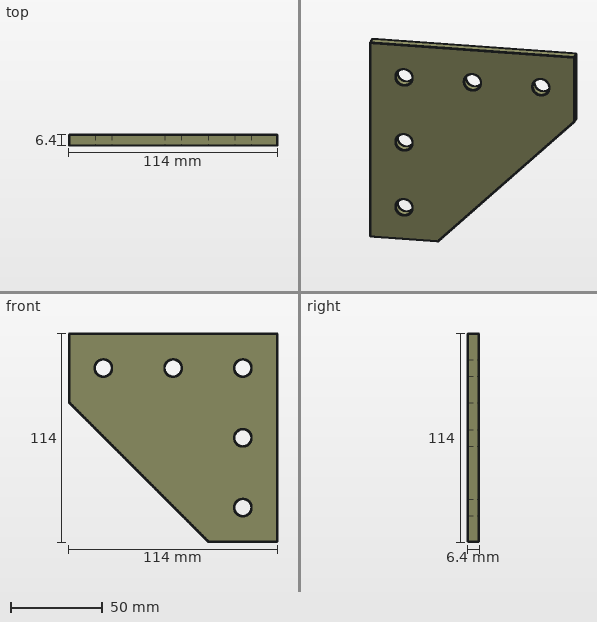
import cadquery as cq

side = 114.0
thickness = 6.4
arm_width = side / 3
edge_chamfer = 0.5

hole_diameter = 9.0
hole_chamfer = 0.5
hole_pitch = 38.1
hole_inset = hole_pitch / 2


def make_plate():
    """Square plate in XZ, lower left corner cut off; rims and square corners chamfered."""
    outline = [
        (0, side),
        (side, side),
        (side, 0),
        (side - arm_width, 0),
        (0, side - arm_width),
    ]
    plate = cq.Workplane("XZ").polyline(outline).close().extrude(-thickness)
    square_corners = plate.edges("|Y").edges(">X or >Z")
    rims = plate.faces("<Y or >Y").edges()
    return rims.add(square_corners).chamfer(edge_chamfer)


def make_hole(x, z):
    """Through hole cutter, flared by a chamfer at both faces."""
    mouth_radius = hole_diameter / 2 + hole_chamfer
    bore_radius = hole_diameter / 2
    profile = [
        (0, 0),
        (mouth_radius, 0),
        (bore_radius, hole_chamfer),
        (bore_radius, thickness - hole_chamfer),
        (mouth_radius, thickness),
        (0, thickness),
    ]
    cutter = cq.Workplane("XY").polyline(profile).close().revolve(360, (0, 0), (0, 1))
    return cutter.translate((x, 0, z))


corner = side - hole_inset
top_row = [(corner - i * hole_pitch, corner) for i in range(3)]
right_column = [(corner, corner - i * hole_pitch) for i in range(1, 3)]

result = make_plate()
for x, z in top_row + right_column:
    result = result.cut(make_hole(x, z))